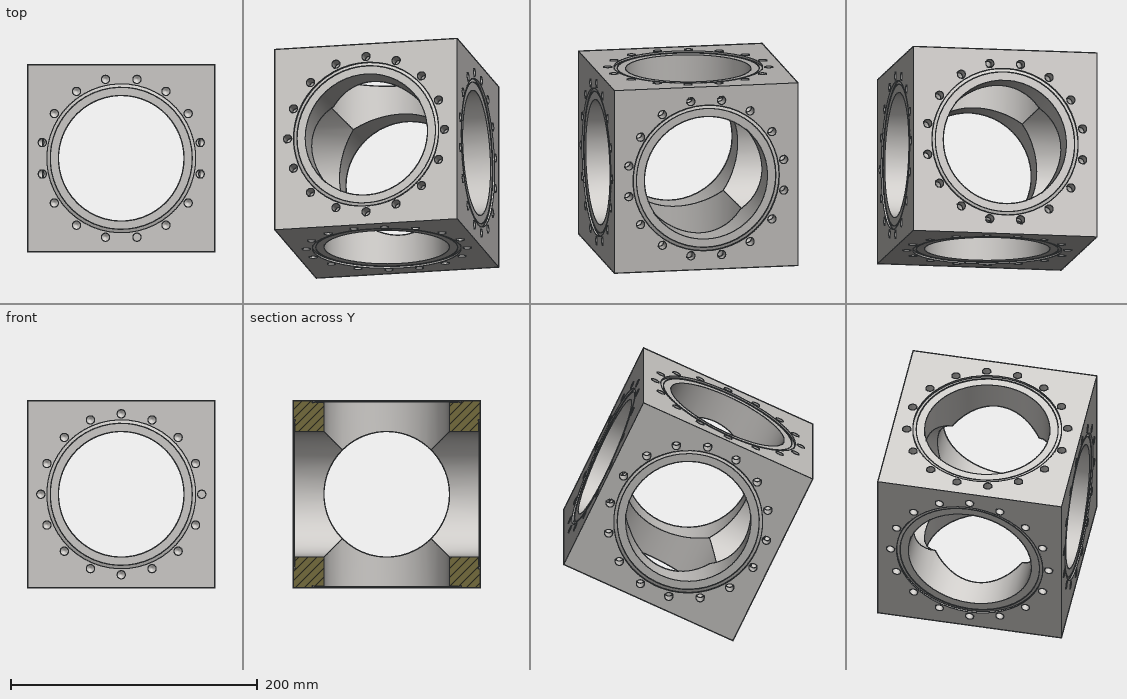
import cadquery as cq
import math

cube_side = 151.6
half_side = cube_side / 2
bore_diameter = 101.5

recess_diameter = 120.7
knife_diameter = 115.2
knife_foot_diameter = 114.9
knife_tip_depth = 0.68
knife_slope_deg = 20
recess_floor_depth = 1.18

bolt_count = 16
bolt_step_deg = 360 / bolt_count
bolt_circle_radius = 65.2
bolt_diameter = 6.7
bolt_depth = 12.0
drill_point_deg = 118

ports = [
    ((0, -1, 0), (1, 0, 0), 0),
    ((0, 1, 0), (1, 0, 0), 0),
    ((0, 0, 1), (1, 0, 0), -3.5 * bolt_step_deg),
    ((0, 0, -1), (1, 0, 0), -3.5 * bolt_step_deg),
    ((-1, 0, 0), (0, 1, 0), 0.5 * bolt_step_deg),
    ((1, 0, 0), (0, 1, 0), -0.5 * bolt_step_deg),
]


def recess_cutter():
    """Ring-shaped recess below a face at Z = 0, leaving the knife edge standing."""
    recess_radius = recess_diameter / 2
    knife_radius = knife_diameter / 2
    slope_drop = (recess_radius - knife_radius) * math.tan(math.radians(knife_slope_deg))
    profile = [
        (0, 0),
        (recess_radius, 0),
        (recess_radius, -knife_tip_depth - slope_drop),
        (knife_radius, -knife_tip_depth),
        (knife_foot_diameter / 2, -recess_floor_depth),
        (0, -recess_floor_depth),
    ]
    return cq.Workplane("XZ").polyline(profile).close().revolve(360, (0, 0), (0, 1))


def bolt_hole_cutter(angle_deg, has_drill_point):
    """Blind bolt hole below a face at Z = 0."""
    radius = bolt_diameter / 2
    point_length = 0
    if has_drill_point:
        point_length = radius / math.tan(math.radians(drill_point_deg / 2))
    profile = cq.Workplane("XZ").lineTo(radius, 0).lineTo(radius, -bolt_depth)
    profile = profile.lineTo(0, -bolt_depth - point_length).close()
    hole = profile.revolve(360, (0, 0), (0, 1))
    angle = math.radians(angle_deg)
    x = bolt_circle_radius * math.cos(angle)
    y = bolt_circle_radius * math.sin(angle)
    return hole.translate((x, y, 0))


def cut_port(body, outward, local_x, first_angle):
    """Cut the recess and the ring of bolt holes of one port into the body."""
    face_centre = tuple(half_side * component for component in outward)
    location = cq.Location(cq.Plane(face_centre, local_x, outward))
    cutters = [recess_cutter()]
    for index in range(bolt_count):
        cutters.append(bolt_hole_cutter(first_angle + index * bolt_step_deg, index > 0))
    solids = [cutter.val().moved(location) for cutter in cutters]
    return cq.Workplane(body.val().cut(*solids))


result = cq.Workplane("XY").box(cube_side, cube_side, cube_side)

for bore_plane in ("XY", "XZ", "YZ"):
    bore = cq.Workplane(bore_plane).circle(bore_diameter / 2).extrude(half_side, both=True)
    result = result.cut(bore)

for outward, local_x, first_angle in ports:
    result = cut_port(result, outward, local_x, first_angle)